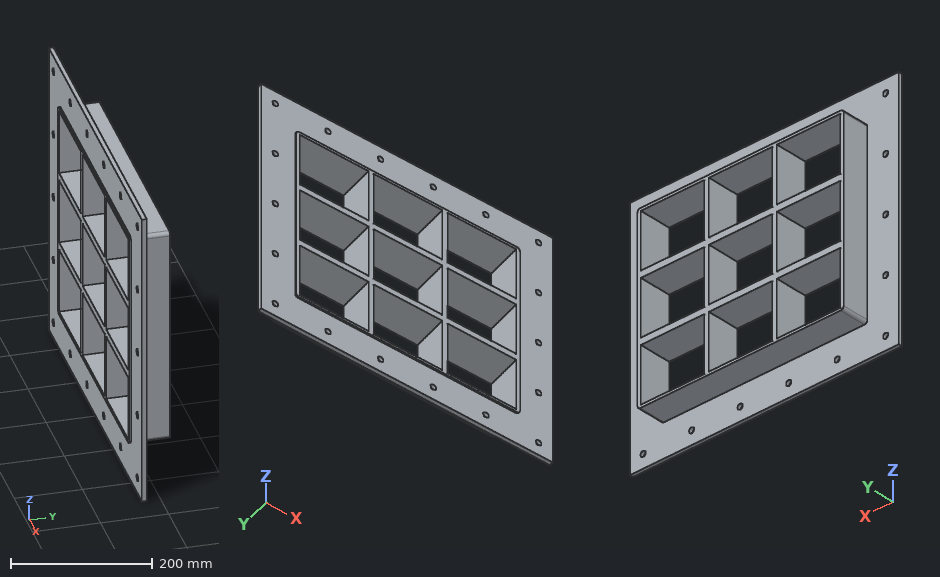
import cadquery as cq

flange_width = 513.5
flange_height = 459.0
flange_thickness = 7.0

frame_depth = 60.0
front_lip = 2.5
corner_radius = 5.5
side_wall = 6.5
end_wall = 5.0

columns = 3
rows = 3
opening_width = 120.5
opening_height = 100.5
upright_thickness = 9.0
crossbar_thickness = 12.5
column_pitch = opening_width + upright_thickness
row_pitch = opening_height + crossbar_thickness
frame_width = (columns - 1) * column_pitch + opening_width + 2 * side_wall
frame_height = (rows - 1) * row_pitch + opening_height + 2 * end_wall

hole_diameter = 10.0
hole_margin = 25.0
holes_across = 6
holes_up = 5
hole_pitch_x = (flange_width - 2 * hole_margin) / (holes_across - 1)
hole_pitch_z = (flange_height - 2 * hole_margin) / (holes_up - 1)


def plane_at(y):
    """XZ workplane at depth y, with its normal pointing toward +Y."""
    return cq.Workplane(cq.Plane(origin=(0, y, 0), xDir=(1, 0, 0), normal=(0, 1, 0)))


def make_flange():
    plate = plane_at(front_lip).rect(flange_width, flange_height).extrude(flange_thickness)
    border_points = [
        (column * hole_pitch_x + hole_margin - flange_width / 2,
         row * hole_pitch_z + hole_margin - flange_height / 2)
        for column in range(holes_across)
        for row in range(holes_up)
        if column in (0, holes_across - 1) or row in (0, holes_up - 1)
    ]
    holes = plane_at(front_lip).pushPoints(border_points).circle(hole_diameter / 2).extrude(flange_thickness)
    return plate.cut(holes)


def make_frame():
    block = plane_at(0).rect(frame_width, frame_height).extrude(frame_depth)
    return block.edges("|Y").fillet(corner_radius)


def make_openings():
    grid = plane_at(0).rarray(column_pitch, row_pitch, columns, rows)
    return grid.rect(opening_width, opening_height).extrude(frame_depth)


result = make_flange().union(make_frame()).cut(make_openings())